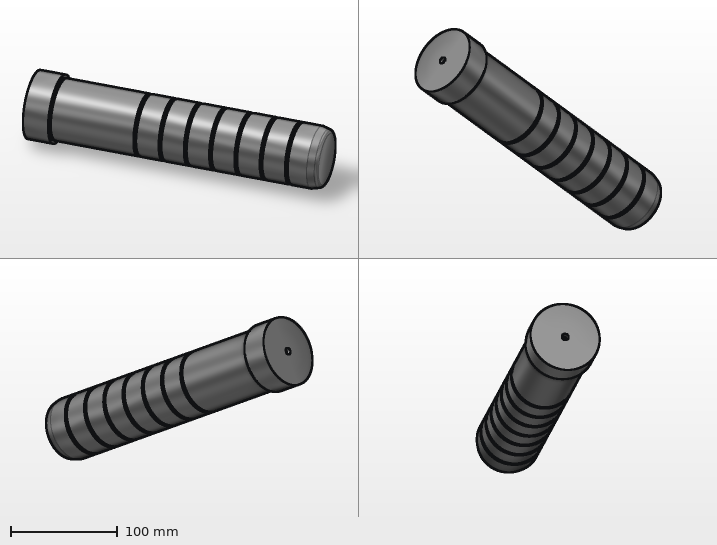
import cadquery as cq
import math

TOTAL_LENGTH = 290.0
HEAD_LENGTH = 25.0
HEAD_DIAMETER = 66.0
SHAFT_DIAMETER = 60.0

RELIEF_WIDTH = 1.7
RELIEF_DEPTH = 0.3

GROOVE_COUNT = 7
FIRST_GROOVE_CENTER = 110.0
LAST_GROOVE_CENTER = 260.0
GROOVE_PITCH = (LAST_GROOVE_CENTER - FIRST_GROOVE_CENTER) / (GROOVE_COUNT - 1)
GROOVE_WIDTH = 3.0
GROOVE_DEPTH = 1.0

NOSE_LENGTH = 10.0
TAPER_LENGTH = 7.0
TAPER_ANGLE = 15.0
RIM_FACE_DIAMETER = 49.3

CENTER_MOUTH_DIAMETER = 6.5
CENTER_DRILL_DIAMETER = 3.0
CENTER_DRILL_DEPTH = 6.5
CENTER_CONE_ANGLE = 60.0
DRILL_TIP_ANGLE = 120.0


def turn_about_axis(profile):
    """Revolve a closed profile fully about the X axis."""
    return profile.revolve(360, (0, 0, 0), (1, 0, 0))


def make_body():
    """Head and shaft with its nose, revolved about X."""
    head_radius = HEAD_DIAMETER / 2
    shaft_radius = SHAFT_DIAMETER / 2
    relief_radius = shaft_radius - RELIEF_DEPTH
    relief_end = HEAD_LENGTH + RELIEF_WIDTH
    nose_start = TOTAL_LENGTH - NOSE_LENGTH
    taper_end = nose_start + TAPER_LENGTH
    taper_end_radius = shaft_radius - TAPER_LENGTH * math.tan(math.radians(TAPER_ANGLE))
    profile = (
        cq.Workplane("XZ")
        .lineTo(0, head_radius)
        .lineTo(HEAD_LENGTH, head_radius)
        .lineTo(HEAD_LENGTH, relief_radius)
        .lineTo(relief_end, relief_radius)
        .lineTo(relief_end, shaft_radius)
        .lineTo(nose_start, shaft_radius)
        .lineTo(taper_end, taper_end_radius)
        .tangentArcPoint((TOTAL_LENGTH, RIM_FACE_DIAMETER / 2), relative=False)
        .lineTo(TOTAL_LENGTH, 0)
        .close()
    )
    return turn_about_axis(profile)


def make_ring_groove(center):
    """V-shaped ring to cut from the shaft at the given place along X."""
    shaft_radius = SHAFT_DIAMETER / 2
    half_width = GROOVE_WIDTH / 2
    profile = (
        cq.Workplane("XZ")
        .moveTo(center - half_width, shaft_radius)
        .lineTo(center, shaft_radius - GROOVE_DEPTH)
        .lineTo(center + half_width, shaft_radius)
        .close()
    )
    return turn_about_axis(profile)


def make_center_drilling():
    """Countersunk pilot hole with a pointed end, to cut from the middle of the head face."""
    mouth_radius = CENTER_MOUTH_DIAMETER / 2
    drill_radius = CENTER_DRILL_DIAMETER / 2
    cone_depth = (mouth_radius - drill_radius) / math.tan(math.radians(CENTER_CONE_ANGLE / 2))
    tip_length = drill_radius / math.tan(math.radians(DRILL_TIP_ANGLE / 2))
    profile = (
        cq.Workplane("XZ")
        .lineTo(0, mouth_radius)
        .lineTo(cone_depth, drill_radius)
        .lineTo(CENTER_DRILL_DEPTH, drill_radius)
        .lineTo(CENTER_DRILL_DEPTH + tip_length, 0)
        .close()
    )
    return turn_about_axis(profile)


result = make_body()
for index in range(GROOVE_COUNT):
    result = result.cut(make_ring_groove(FIRST_GROOVE_CENTER + index * GROOVE_PITCH))
result = result.cut(make_center_drilling())